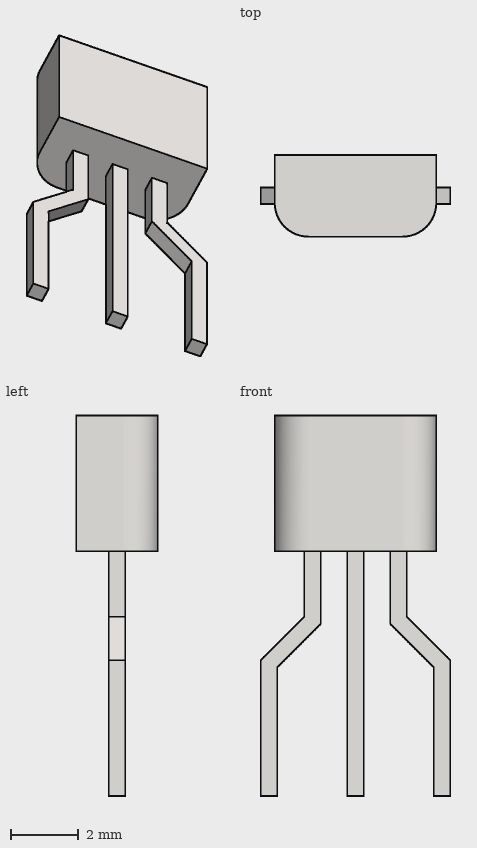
import cadquery as cq
import math

total_height = 11.21

housing_width = 4.76
housing_depth = 2.41
housing_height = 4.0
corner_radius = 1.0
housing_bottom = total_height - housing_height

lead_width = 0.49
lead_pitch_at_housing = 1.27
lead_pitch_at_tip = 2.55
lower_bend_height = 4.0
bend_angle = 45.0

bend_shift = lead_pitch_at_tip - lead_pitch_at_housing
upper_bend_height = lower_bend_height + bend_shift / math.tan(math.radians(bend_angle))
miter_drop = lead_width * math.tan(math.radians(bend_angle / 2))


def make_housing():
    """Block with two rounded vertical edges on its front."""
    return (
        cq.Workplane("XY")
        .workplane(offset=housing_bottom)
        .rect(housing_width, housing_depth)
        .extrude(housing_height)
        .edges("|Z and <Y")
        .fillet(corner_radius)
    )


def make_center_lead():
    """Straight lead from the tip up to the housing underside."""
    return cq.Workplane("XY").rect(lead_width, lead_width).extrude(housing_bottom)


def make_outer_lead(side):
    """Lead bent outward toward side (-1 for -X, +1 for +X)."""
    tip_outer = lead_pitch_at_tip + lead_width / 2
    tip_inner = tip_outer - lead_width
    top_outer = lead_pitch_at_housing + lead_width / 2
    top_inner = top_outer - lead_width
    outline = [
        (side * tip_inner, 0),
        (side * tip_outer, 0),
        (side * tip_outer, lower_bend_height),
        (side * top_outer, upper_bend_height),
        (side * top_outer, housing_bottom),
        (side * top_inner, housing_bottom),
        (side * top_inner, upper_bend_height - miter_drop),
        (side * tip_inner, lower_bend_height - miter_drop),
    ]
    return cq.Workplane("XZ").polyline(outline).close().extrude(lead_width / 2, both=True)


housing = make_housing()
center_lead = make_center_lead()
outer_leads = [make_outer_lead(side).val() for side in (-1, 1)]

result = cq.Compound.makeCompound([housing.val(), center_lead.val(), *outer_leads])